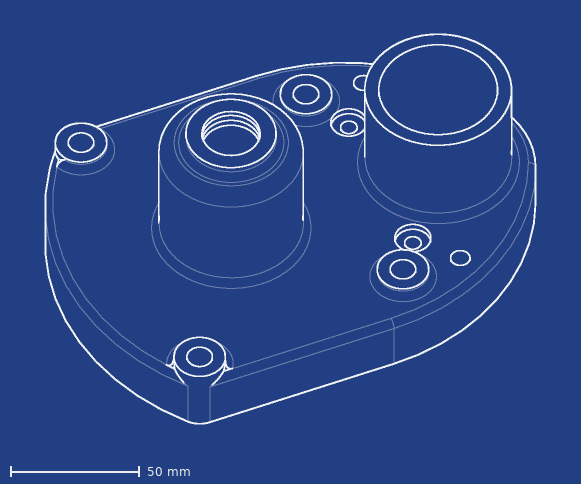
import cadquery as cq
import math

WIDTH = 139.0
HALF_WIDTH = WIDTH / 2
PLATE_LENGTH = 194.3
FRONT_Y = -HALF_WIDTH
SIDE_END_Y = 39.2
PLATE_HEIGHT = 24.0
SMALL_FILLET = 3.0

TUBE_Y = 87.0
NOSE_RADIUS = PLATE_LENGTH + FRONT_Y - TUBE_Y
TUBE_DIAMETER = 57.0
TUBE_BORE = 46.0
TUBE_TOP = 67.0

HUB_DIAMETER = 56.0
HUB_SHOULDER_HEIGHT = 74.8
HUB_SHOULDER_FILLET = 5.8
NECK_DIAMETER = 35.0
NECK_TOP = 80.0
HUB_BORE = 47.0
HUB_BORE_TOP = 71.9
NECK_BORE = 22.5
GROOVE_DIAMETER = 30.0
GROOVE_TOP = 77.7
GROOVE_BOTTOM = 74.8

BOSS_DIAMETER = 20.0
BOSS_HOLE = 10.0
BOSS_TOP = 28.2
CORNER_BOSS_X = HALF_WIDTH - BOSS_DIAMETER / 2
CORNER_BOSS_Y = -38.0
INNER_BOSS_X = 48.5
INNER_BOSS_Y = 51.9

PLAIN_HOLE = 7.5
PLAIN_HOLE_Y = 76.0
COUNTERBORED_HOLE = 6.5
COUNTERBORE_DIAMETER = 14.0
COUNTERBORE_DEPTH = 3.0
COUNTERBORED_X = 32.0
COUNTERBORED_Y = 63.0

CUT_MARGIN = 2.0


def mirrored(x, y):
    return [(-x, y), (x, y)]


def cylinder(points, diameter, bottom, top):
    plane = cq.Workplane("XY").workplane(offset=bottom)
    return plane.pushPoints(points).circle(diameter / 2).extrude(top - bottom)


def point_on_arc(center, radius, angle):
    return center[0] + radius * math.cos(angle), center[1] + radius * math.sin(angle)


def make_plate(height):
    """Tangent outline of front arc, sides and nose, notched where the corner bosses round it off."""
    corner_radius = BOSS_DIAMETER / 2
    corner = (CORNER_BOSS_X, CORNER_BOSS_Y)

    reach = corner_radius + FRONT_Y
    spread = CORNER_BOSS_X**2 + CORNER_BOSS_Y**2 - reach**2
    front_center_y = spread / (2 * (CORNER_BOSS_Y - reach))
    corner_angle = math.atan2(CORNER_BOSS_Y - front_center_y, CORNER_BOSS_X)
    corner_start = point_on_arc(corner, corner_radius, corner_angle)

    rise = TUBE_Y - SIDE_END_Y
    gap = HALF_WIDTH - NOSE_RADIUS
    side_center = ((gap**2 - rise**2) / (2 * gap), SIDE_END_Y)
    side_radius = HALF_WIDTH - side_center[0]
    nose_angle = math.atan2(rise, -side_center[0])
    side_middle = point_on_arc(side_center, side_radius, nose_angle / 2)
    nose_start = point_on_arc((0, TUBE_Y), NOSE_RADIUS, nose_angle)

    def left(point):
        return -point[0], point[1]

    outline = (
        cq.Workplane("XY")
        .moveTo(*left(corner_start))
        .threePointArc((0, FRONT_Y), corner_start)
        .lineTo(*corner)
        .lineTo(HALF_WIDTH, CORNER_BOSS_Y)
        .lineTo(HALF_WIDTH, SIDE_END_Y)
        .threePointArc(side_middle, nose_start)
        .threePointArc((0, TUBE_Y + NOSE_RADIUS), left(nose_start))
        .threePointArc(left(side_middle), (-HALF_WIDTH, SIDE_END_Y))
        .lineTo(-HALF_WIDTH, CORNER_BOSS_Y)
        .lineTo(*left(corner))
        .close()
    )
    return outline.extrude(height)


def flared_post(x, y, diameter, top, foot=PLATE_HEIGHT):
    """Round post with a concave fillet where it meets the face at height foot."""
    radius = diameter / 2
    flare = SMALL_FILLET
    bend = flare * (1 - math.sqrt(0.5))
    profile = (
        cq.Workplane("XZ")
        .lineTo(radius + flare, 0)
        .lineTo(radius + flare, foot)
        .threePointArc((radius + bend, foot + bend), (radius, foot + flare))
        .lineTo(radius, top)
        .lineTo(0, top)
        .close()
    )
    return profile.revolve(360, (0, 0, 0), (0, 1, 0)).translate((x, y, 0))


def rim_edges(plate):
    """Top edges of the plate without the four that bound the corner notches."""
    return plate.faces(">Z").edges().filter(lambda edge: edge.Length() > BOSS_DIAMETER)


def corner_flare(x, y):
    """Foot fillet of a corner boss, trimmed by a slope running up from the lower edge of the rim."""
    rim_start = PLATE_HEIGHT - SMALL_FILLET
    limit = rim_edges(make_plate(BOSS_TOP)).chamfer(BOSS_TOP - rim_start)
    return flared_post(x, y, BOSS_DIAMETER, BOSS_TOP).intersect(limit)


def make_hub():
    body = flared_post(0, 0, HUB_DIAMETER, HUB_SHOULDER_HEIGHT)
    body = body.faces(">Z").edges().fillet(HUB_SHOULDER_FILLET)
    return body.union(flared_post(0, 0, NECK_DIAMETER, NECK_TOP, HUB_SHOULDER_HEIGHT))


corner_bosses = mirrored(CORNER_BOSS_X, CORNER_BOSS_Y)
inner_bosses = mirrored(INNER_BOSS_X, INNER_BOSS_Y)
all_bosses = corner_bosses + inner_bosses

result = rim_edges(make_plate(PLATE_HEIGHT)).fillet(SMALL_FILLET)

for boss_x, boss_y in inner_bosses:
    result = result.union(flared_post(boss_x, boss_y, BOSS_DIAMETER, BOSS_TOP))
for boss_x, boss_y in corner_bosses:
    result = result.union(corner_flare(boss_x, boss_y))
result = result.union(cylinder(corner_bosses, BOSS_DIAMETER, 0, BOSS_TOP))
result = result.union(make_hub())
result = result.union(flared_post(0, TUBE_Y, TUBE_DIAMETER, TUBE_TOP))

holes = [
    ([(0, 0)], NECK_BORE),
    ([(0, TUBE_Y)], TUBE_BORE),
    (all_bosses, BOSS_HOLE),
    (mirrored(INNER_BOSS_X, PLAIN_HOLE_Y), PLAIN_HOLE),
    (mirrored(COUNTERBORED_X, COUNTERBORED_Y), COUNTERBORED_HOLE),
]
for points, diameter in holes:
    result = result.cut(cylinder(points, diameter, -CUT_MARGIN, NECK_TOP + CUT_MARGIN))

counterbore_floor = PLATE_HEIGHT - COUNTERBORE_DEPTH
counterbored_points = mirrored(COUNTERBORED_X, COUNTERBORED_Y)
result = result.cut(cylinder(counterbored_points, COUNTERBORE_DIAMETER, counterbore_floor, BOSS_TOP))
result = result.cut(cylinder([(0, 0)], GROOVE_DIAMETER, GROOVE_BOTTOM, GROOVE_TOP))
result = result.cut(cylinder([(0, 0)], HUB_BORE, -CUT_MARGIN, HUB_BORE_TOP))